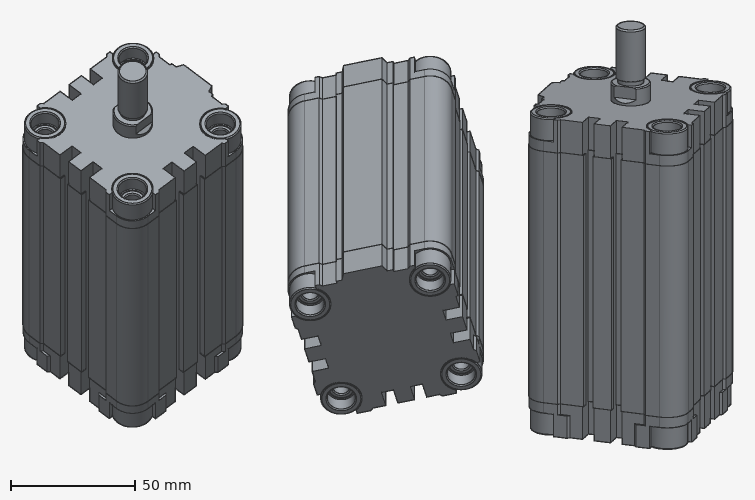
import cadquery as cq
import math

TOTAL_HEIGHT = 167.0
HOUSING_HEIGHT = 135.5
HOUSING_WIDTH = 68.0
DEPTH_WITH_RIB = 71.0
HALF_WIDTH = HOUSING_WIDTH / 2

PANEL_RECESS = 1.0
HALF_PANEL = HALF_WIDTH - PANEL_RECESS
PAD_START = 18.9
FOOT_PAD_START = 14.9
PAD_SLOPE = 1.0
CORNER_RADIUS = 9.0

CAP_HEIGHT = 14.0
CAP_INSET = 0.1
BARREL_TOP = HOUSING_HEIGHT - CAP_HEIGHT

RIB_TOP_HALF = 8.0
RIB_FOOT_HALF = 9.4
RIB_BASE_HALF = 11.9
RIB_TOP_Y = DEPTH_WITH_RIB - HALF_WIDTH

SLOT_OFFSET = 6.0
SLOT_WIDTH = 5.0
SLOT_DEPTH = 7.0
NECK_WIDTH = 4.0
NECK_DEPTH = 2.5
BARREL_SLOT_DEPTH = 6.7

SCREW_OFFSET = 24.97
BOSS_RADIUS = 8.4
BOSS_HEIGHT = 9.5
BOSS_CHAMFER = 0.5
NOTCH_START = 20.7
MOUTH_DIAMETER = 12.4
SOCKET_DIAMETER = 11.4
SOCKET_DEPTH = 6.5
FLOOR_DIAMETER = 10.0
FLOOR_DEPTH = 7.0
HOLE_MOUTH_DIAMETER = 7.7
HOLE_DIAMETER = 6.7

ROD_DIAMETER = 16.0
ROD_CHAMFER = 0.5
THREAD_DIAMETER = 12.0
THREAD_LENGTH = 22.0
THREAD_CHAMFER = 0.7
UNDERCUT_DIAMETER = 10.5
UNDERCUT_LENGTH = 2.0
FLATS_WIDTH = 13.0
FLATS_LENGTH = 5.0

CORNERS = [(x_side, y_side) for x_side in (-1, 1) for y_side in (-1, 1)]


def panel_block(inset, height):
    """Cross-shaped block between the corner pads, bounded by the four side panels."""
    width = 2 * (HALF_PANEL - inset)
    arm = 2 * PAD_START
    along_x = cq.Workplane("XY").rect(width, arm).extrude(height)
    along_y = cq.Workplane("XY").rect(arm, width).extrude(height)
    return along_x.union(along_y)


def corner_pad(x_start, y_start, x_side, y_side, inset, height):
    """Rounded corner pad whose raised faces begin x_start and y_start from the middle of the sides."""
    outer = HALF_WIDTH - inset
    panel = HALF_PANEL - inset
    arc_start = HALF_WIDTH - CORNER_RADIUS
    arc_middle = arc_start + (CORNER_RADIUS - inset) * math.sqrt(0.5)
    x_foot = x_start - PAD_SLOPE
    y_foot = y_start - PAD_SLOPE

    def place(x, y):
        return x * x_side, y * y_side

    return (
        cq.Workplane("XY")
        .moveTo(*place(x_foot, y_foot))
        .lineTo(*place(x_foot, panel))
        .lineTo(*place(x_start, outer))
        .lineTo(*place(arc_start, outer))
        .threePointArc(place(arc_middle, arc_middle), place(outer, arc_start))
        .lineTo(*place(outer, y_start))
        .lineTo(*place(panel, y_foot))
        .close()
        .extrude(height)
    )


def rib(inset, height):
    """Rib on the +Y side with sloped flanks on a flat base."""
    base_y = HALF_WIDTH - inset
    top_y = RIB_TOP_Y - inset
    return (
        cq.Workplane("XY")
        .polyline([
            (-RIB_BASE_HALF, 0),
            (-RIB_BASE_HALF, base_y),
            (-RIB_FOOT_HALF, base_y),
            (-RIB_TOP_HALF, top_y),
            (RIB_TOP_HALF, top_y),
            (RIB_FOOT_HALF, base_y),
            (RIB_BASE_HALF, base_y),
            (RIB_BASE_HALF, 0),
        ])
        .close()
        .extrude(height)
    )


def profile(inset, height):
    """Extruded housing section, with its outer faces moved in by the inset."""
    body = panel_block(inset, height).union(rib(inset, height))
    for x_side, y_side in CORNERS:
        body = body.union(corner_pad(PAD_START, PAD_START, x_side, y_side, inset, height))
    return body


def foot_pads():
    """Wider pads at the foot; the two on the rib side widen only along the X faces."""
    pads = cq.Workplane("XY")
    for x_side, y_side in CORNERS:
        x_start = PAD_START if y_side > 0 else FOOT_PAD_START
        pads = pads.union(corner_pad(x_start, FOOT_PAD_START, x_side, y_side, CAP_INSET, BOSS_HEIGHT))
    return pads


def slot_box(width, start_depth, end_depth, offset, bottom, top):
    """Box cut into the -Y side between two depths below the panel face."""
    return cq.Workplane("XY").box(
        width, end_depth - start_depth, top - bottom, centered=(True, False, False)
    ).translate((offset, -HALF_PANEL + start_depth, bottom))


def slot(offset):
    """Plain slot through both caps, undercut slot along the barrel."""
    foot_cap = slot_box(SLOT_WIDTH, -PANEL_RECESS, SLOT_DEPTH, offset, 0, CAP_HEIGHT)
    head_cap = slot_box(SLOT_WIDTH, -PANEL_RECESS, SLOT_DEPTH, offset, BARREL_TOP, HOUSING_HEIGHT)
    neck = slot_box(NECK_WIDTH, -PANEL_RECESS, NECK_DEPTH, offset, CAP_HEIGHT, BARREL_TOP)
    head = slot_box(SLOT_WIDTH, NECK_DEPTH, BARREL_SLOT_DEPTH, offset, CAP_HEIGHT, BARREL_TOP)
    return foot_cap.union(head_cap).union(neck).union(head)


def boss_notch(x_side, y_side):
    """Square corner notch of the foot cap around the round boss, with the boss chamfer groove."""
    size = HALF_WIDTH - NOTCH_START
    middle = NOTCH_START + size / 2
    square = (
        cq.Workplane("XY")
        .center(middle * x_side, middle * y_side)
        .rect(size, size)
        .extrude(BOSS_HEIGHT)
    )
    centre = (SCREW_OFFSET * x_side, SCREW_OFFSET * y_side)
    boss = cq.Workplane("XY").center(*centre).circle(BOSS_RADIUS).extrude(BOSS_HEIGHT)
    groove = (
        cq.Workplane("XY").center(*centre).circle(BOSS_RADIUS).extrude(BOSS_CHAMFER)
        .cut(boss.faces("<Z").chamfer(BOSS_CHAMFER))
    )
    return square.cut(boss).union(groove)


def screw_hole(x_side, y_side):
    """Through hole with a stepped, chamfered socket in the foot cap; cut to mid-height."""
    mouth_chamfer = (MOUTH_DIAMETER - SOCKET_DIAMETER) / 2
    hole_chamfer = (HOLE_MOUTH_DIAMETER - HOLE_DIAMETER) / 2
    hole = (
        cq.Workplane("XZ")
        .polyline([
            (0, 0),
            (MOUTH_DIAMETER / 2, 0),
            (SOCKET_DIAMETER / 2, mouth_chamfer),
            (SOCKET_DIAMETER / 2, SOCKET_DEPTH),
            (FLOOR_DIAMETER / 2, SOCKET_DEPTH),
            (FLOOR_DIAMETER / 2, FLOOR_DEPTH),
            (HOLE_MOUTH_DIAMETER / 2, FLOOR_DEPTH),
            (HOLE_DIAMETER / 2, FLOOR_DEPTH + hole_chamfer),
            (HOLE_DIAMETER / 2, HOUSING_HEIGHT / 2),
            (0, HOUSING_HEIGHT / 2),
        ])
        .close()
        .revolve(360, (0, 0), (0, 1))
    )
    return hole.translate((SCREW_OFFSET * x_side, SCREW_OFFSET * y_side, 0))


def at_head(shape):
    """Mirror a foot feature to the head end."""
    return shape.mirror("XY").translate((0, 0, HOUSING_HEIGHT))


def build_housing():
    """Barrel between two slightly smaller end caps, with slots, corner bosses and screw holes."""
    cap = profile(CAP_INSET, CAP_HEIGHT)
    barrel = profile(0, BARREL_TOP - CAP_HEIGHT).translate((0, 0, CAP_HEIGHT))
    body = barrel.union(cap).union(at_head(cap)).union(foot_pads())
    for turn in (-90, 0, 90):
        for offset in (-SLOT_OFFSET, SLOT_OFFSET):
            body = body.cut(slot(offset).rotate((0, 0, 0), (0, 0, 1), turn))
    for corner in CORNERS:
        for feature in (boss_notch(*corner), screw_hole(*corner)):
            body = body.cut(feature).cut(at_head(feature))
    return body


def build_rod():
    """Rod end standing on the head cap: collar with wrench flats, undercut, threaded end."""
    rod_length = TOTAL_HEIGHT - HOUSING_HEIGHT
    collar_length = rod_length - THREAD_LENGTH - UNDERCUT_LENGTH
    collar = (
        cq.Workplane("XY").circle(ROD_DIAMETER / 2).extrude(collar_length)
        .faces(">Z").chamfer(ROD_CHAMFER)
    )
    flat_depth = (ROD_DIAMETER - FLATS_WIDTH) / 2
    flat_bottom = collar_length - FLATS_LENGTH
    for side in (-1, 1):
        flat = (
            cq.Workplane("XZ")
            .polyline([
                (side * FLATS_WIDTH / 2, collar_length),
                (side * FLATS_WIDTH / 2, flat_bottom),
                (side * ROD_DIAMETER / 2, flat_bottom - flat_depth),
                (side * ROD_DIAMETER / 2, collar_length),
            ])
            .close()
            .extrude(ROD_DIAMETER / 2, both=True)
        )
        collar = collar.cut(flat)
    undercut = (
        cq.Workplane("XY").workplane(offset=collar_length)
        .circle(UNDERCUT_DIAMETER / 2).extrude(UNDERCUT_LENGTH)
    )
    thread = (
        cq.Workplane("XY").workplane(offset=collar_length + UNDERCUT_LENGTH)
        .circle(THREAD_DIAMETER / 2).extrude(THREAD_LENGTH)
        .faces(">Z").chamfer(THREAD_CHAMFER)
    )
    return collar.union(undercut).union(thread).translate((0, 0, HOUSING_HEIGHT))


housing = build_housing()
rod = build_rod()
result = cq.Compound.makeCompound([housing.val(), rod.val()])